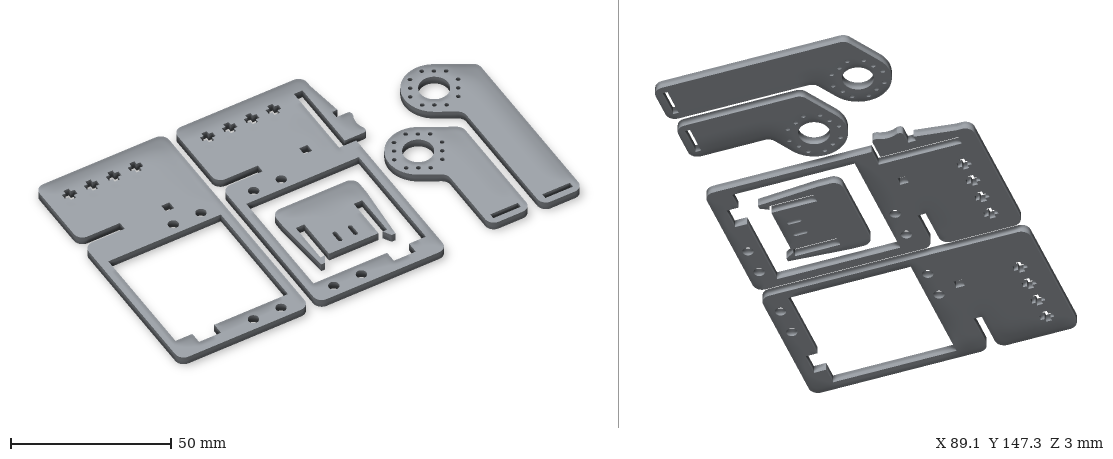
import cadquery as cq
import math

thickness = 3.0
corner_radius = 3.1
joint_width = 3.0

plate_length = 89.1
plate_height = 47.0
plate_gap = 3.1
latch_plate_y = plate_height + plate_gap

window_left = 39.9
window_length = 41.1
window_height = 40.8
window_right = window_left + window_length
notch_depth = 4.1
notch_height = 8.0
notch_offset = 10.3

mount_hole_diameter = 3.5
mount_hole_xs = (36.1, 85.1)
mount_hole_offsets = (5.5, 15.5)

cross_x = 8.1
cross_first_y = 8.0
cross_pitch = 8.0
cross_count = 4
cross_span = 4.5
cross_arm_width = 1.9

joint_x = 28.5
joint_slot_depth = 14.9
socket_y = 31.4

spring_thickness = 3.1
spring_slot_left = 5.5
spring_slot_height = 3.1
spring_slot_right = 33.1
button_left = 21.0
button_right = 31.4
button_rise = 5.0
button_corner_radius = 1.0
button_dip_width = 6.8
button_dip_depth = 0.9
wedge_left = 4.9
wedge_right = 18.4
wedge_rise = 1.9

clip_left = 47.1
clip_length = 25.0
clip_height = 30.2
clip_rise = 23.0
clip_center_y = latch_plate_y + clip_rise
clip_slot_left = 57.0
clip_slot_inner = 9.0
clip_slot_width = 3.1
prong_taper_start = 54.5
prong_tip_reach = 2.8
prong_tip_inset = 1.6
barb_depth = 1.6
tie_slot_x = 66.9
tie_slot_length = 4.7
tie_slot_width = 1.5
tie_slot_spacing = 5.6

arm_width = 14.9
arm_slant = 60.0
hub_radius = 10.6
hub_bore_diameter = 10.0
hub_drop = 17.4
screw_hole_diameter = 1.5
screw_row_distance = 7.5
screw_pitch = 3.8
strap_slot_width = 1.9
strap_slot_height = 10.0
strap_slot_margin = 2.2
long_arm_hub = (25.5, 129.9)
long_arm_reach = 62.0
short_arm_hub = (47.0, 111.3)
short_arm_reach = 39.9


def block(left, bottom, right, top):
    """Sheet-thick rectangle between two corners."""
    return (
        cq.Workplane("XY")
        .moveTo((left + right) / 2, (bottom + top) / 2)
        .rect(right - left, top - bottom)
        .extrude(thickness)
    )


def rounded_at(body, points, radius):
    """Round the upright edges that stand on the given points."""
    for x, y in points:
        edge = cq.selectors.NearestToPointSelector((x, y, thickness / 2))
        body = body.edges("|Z").edges(edge).fillet(radius)
    return body


def plate(flip):
    """Side plate from the origin; flip is 1, or -1 to turn the notch and holes upside down."""
    middle = plate_height / 2
    joint_left = joint_x - joint_width / 2
    joint_right = joint_x + joint_width / 2
    body = block(0, 0, plate_length, plate_height).edges("|Z").fillet(corner_radius)

    body = body.cut(block(joint_left, 0, joint_right, joint_slot_depth))
    body = rounded_at(body, [(joint_left, 0), (joint_right, 0)], corner_radius)
    body = body.cut(
        block(joint_left, socket_y - joint_width / 2, joint_right, socket_y + joint_width / 2)
    )

    body = body.cut(
        block(window_left, middle - window_height / 2, window_right, middle + window_height / 2)
    )
    notch_y = middle - flip * notch_offset
    notch_bottom = notch_y - notch_height / 2
    notch_top = notch_y + notch_height / 2
    body = body.cut(block(window_right, notch_bottom, window_right + notch_depth, notch_top))

    hole_points = [(x, middle + flip * offset) for x in mount_hole_xs for offset in mount_hole_offsets]
    holes = cq.Workplane("XY").pushPoints(hole_points).circle(mount_hole_diameter / 2).extrude(thickness)
    body = body.cut(holes)

    cross_points = [(cross_x, cross_first_y + i * cross_pitch) for i in range(cross_count)]
    crosses = cq.Workplane("XY").pushPoints(cross_points)
    body = body.cut(crosses.rect(cross_span, cross_arm_width).extrude(thickness))
    return body.cut(crosses.rect(cross_arm_width, cross_span).extrude(thickness))


def latch_plate():
    """Plate whose upper left edge is a spring finger with a wedge catch and a push button."""
    spring_bottom = plate_height - spring_thickness
    button_top = plate_height + button_rise
    button_middle = (button_left + button_right) / 2
    body = plate(-1)

    body = body.cut(
        block(spring_slot_left, spring_bottom - spring_slot_height, spring_slot_right, spring_bottom)
    )
    body = body.cut(block(button_right, spring_bottom, spring_slot_right, plate_height))

    wedge = (
        cq.Workplane("XY")
        .moveTo(wedge_left, plate_height)
        .lineTo(wedge_right, plate_height)
        .lineTo(wedge_right, plate_height + wedge_rise)
        .close()
        .extrude(thickness)
    )
    body = body.union(wedge)

    button = (
        cq.Workplane("XY")
        .moveTo(button_left, spring_bottom)
        .lineTo(button_right, spring_bottom)
        .lineTo(button_right, button_top)
        .lineTo(button_middle + button_dip_width / 2, button_top)
        .threePointArc(
            (button_middle, button_top - button_dip_depth),
            (button_middle - button_dip_width / 2, button_top),
        )
        .lineTo(button_left, button_top)
        .close()
        .extrude(thickness)
    )
    button = rounded_at(
        button, [(button_left, button_top), (button_right, button_top)], button_corner_radius
    )
    return body.union(button).translate((0, latch_plate_y, 0))


def clip():
    """Snap-in clip with two barbed prongs, symmetric about its middle line."""
    front = clip_left + clip_length
    tip = front + prong_tip_reach
    half = clip_height / 2
    slot_outer = clip_slot_inner + clip_slot_width
    upper_half = (
        cq.Workplane("XY")
        .polyline([
            (clip_left, 0),
            (clip_left, half),
            (prong_taper_start, half),
            (tip, half - prong_tip_inset),
            (tip, slot_outer),
            (front, slot_outer - barb_depth),
            (front, slot_outer),
            (clip_slot_left, slot_outer),
            (clip_slot_left, clip_slot_inner),
            (front, clip_slot_inner),
            (front, 0),
        ])
        .close()
        .extrude(thickness)
    )
    upper_half = rounded_at(upper_half, [(clip_left, half)], corner_radius)
    body = upper_half.union(upper_half.mirror("XZ"))
    tie_slots = (
        cq.Workplane("XY")
        .pushPoints([(tie_slot_x, side * tie_slot_spacing / 2) for side in (-1, 1)])
        .slot2D(tie_slot_length, tie_slot_width)
        .extrude(thickness)
    )
    return body.cut(tie_slots).translate((0, clip_center_y, 0))


def arm(hub, reach):
    """Bent arm: a round hub, a slanted neck tangent to it, and a straight bar along X."""
    slant = math.radians(arm_slant)
    tangent_x = hub_radius * math.sin(slant)
    tangent_y = hub_radius * math.cos(slant)
    bar_top = hub_drop
    bar_bottom = hub_drop - arm_width
    outer_corner = (-tangent_x + (bar_top - tangent_y) / math.tan(slant), bar_top)
    elbow = (tangent_x + (bar_bottom + tangent_y) / math.tan(slant), bar_bottom)
    body = (
        cq.Workplane("XY")
        .moveTo(-tangent_x, tangent_y)
        .lineTo(*outer_corner)
        .lineTo(reach, bar_top)
        .lineTo(reach, bar_bottom)
        .lineTo(*elbow)
        .lineTo(tangent_x, -tangent_y)
        .threePointArc((-tangent_y, -tangent_x), (-tangent_x, tangent_y))
        .close()
        .extrude(thickness)
    )
    body = rounded_at(body, [outer_corner, (reach, bar_top), (reach, bar_bottom)], corner_radius)
    body = rounded_at(body, [elbow], corner_radius)

    bore = cq.Workplane("XY").circle(hub_bore_diameter / 2).extrude(thickness)
    row_points = [(screw_row_distance, step * screw_pitch) for step in (-1, 0, 1)]
    screw_row = cq.Workplane("XY").pushPoints(row_points).circle(screw_hole_diameter / 2).extrude(thickness)
    body = body.cut(bore)
    for quarter in range(4):
        body = body.cut(screw_row.rotate((0, 0, 0), (0, 0, 1), arm_slant + 90 * quarter))

    slot_right = reach - strap_slot_margin
    slot_middle = (bar_top + bar_bottom) / 2
    strap_slot = block(
        slot_right - strap_slot_width,
        slot_middle - strap_slot_height / 2,
        slot_right,
        slot_middle + strap_slot_height / 2,
    )
    return body.cut(strap_slot).translate((*hub, 0))


base_plate = plate(1)
spring_plate = latch_plate()
snap_clip = clip()
arms = [arm(long_arm_hub, long_arm_reach), arm(short_arm_hub, short_arm_reach)]

result = cq.Compound.makeCompound([
    base_plate.val(),
    spring_plate.val(),
    snap_clip.val(),
    *[body.val() for body in arms],
])